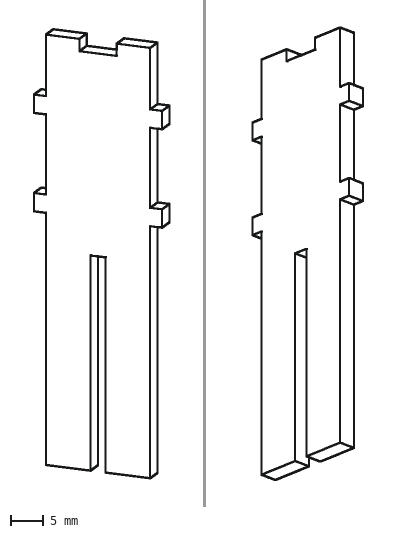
import cadquery as cq

thickness = 3.0
height = 70.0
body_width = 17.5

tab_reach = 2.0
tab_height = 3.0
tab_bottoms = (41.0, 57.0)

notch_width = 6.25
notch_depth = 2.0

slot_width = 2.5
slot_height = height / 2


def centred_block(width, block_height, bottom):
    """Block through the full thickness, centred on X, with its underside at `bottom`."""
    return (
        cq.Workplane("XY")
        .box(width, thickness, block_height, centered=(True, True, False))
        .translate((0, 0, bottom))
    )


def body_with_tabs():
    """Plate body with a pair of tabs at each level."""
    body = centred_block(body_width, height, 0)
    for bottom in tab_bottoms:
        body = body.union(centred_block(body_width + 2 * tab_reach, tab_height, bottom))
    return body


top_notch = centred_block(notch_width, notch_depth, height - notch_depth)
bottom_slot = centred_block(slot_width, slot_height, 0)

result = body_with_tabs().cut(top_notch).cut(bottom_slot)